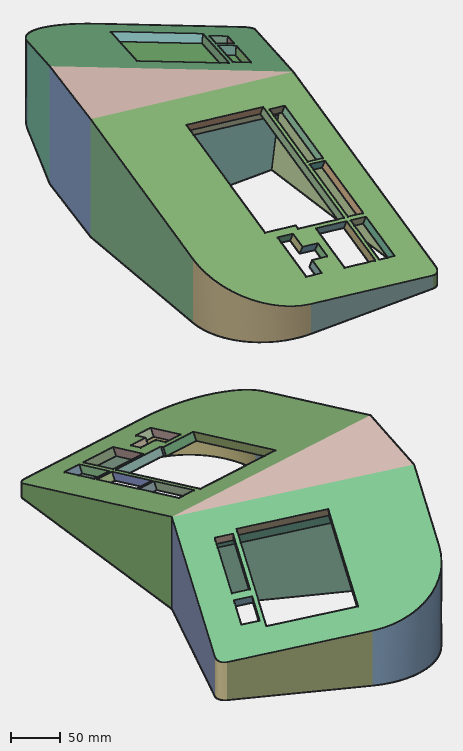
import cadquery as cq
import math

apex_height = 107.5
front_tilt = 7.7
tent_angle = 17.0
left_yaw = 13.0
right_yaw = 12.0

plate_depth = 251.5
left_width = 202.0
right_width = 293.0
front_corner_radius = 90.0
back_corner_radius = 10.0
plate_thickness = 10.0

seam_wall = 15.0
back_wall = 12.5
end_wall = 10.0
front_wall = 32.0
reach = 322.0
floor_block_size = 1611.0

left_block_width = 133.0
left_block_keys = 7
key = left_block_width / left_block_keys
left_block_u = 33.5
left_function_u = 38.5
escape_gap = key / 2
escape_width = 1.75 * key
right_block_u = 35.0
right_block_width = 161.0
function_v = 35.5
function_width = 4 * key
function_bar = 4.0
bar = 5.0
stagger = key / 4
block_v = function_v + key + bar
block_depth = 5 * key
upper_rows_depth = 3 * key
nav_u = right_block_u + right_block_width + bar
nav_width = 3 * key
nav_depth = 2 * key
arrow_stem_v = block_v + 2.5 * key
arrow_row_v = arrow_stem_v + key
opening_depth = 1.5 * plate_thickness


class Half:
    """One plate: side is -1 for the left and 1 for the right."""

    def __init__(self, side, yaw, width):
        self.side = side
        self.width = width
        level = cq.Plane(origin=(0, 0, apex_height))
        tilted = level.rotated((-front_tilt, 0, 0))
        self.plane = tilted.rotated((0, 0, side * yaw)).rotated((0, side * tent_angle, 0))

    def at(self, u, v):
        """Plate position in the coordinates of the plate's plane."""
        return (self.side * u, -v)

    def front_of_seam(self):
        return self.plane.toWorldCoords((0, -plate_depth, 0))


def rectangle(u, v, width, depth):
    return [(u, v), (u + width, v), (u + width, v + depth), (u, v + depth)]


def plate_outline(half, seam=0.0, back=0.0, front=0.0, end=0.0, drop=0.0):
    """Plate outline set in from its four sides, below the plate's top by the drop."""
    u0, u1 = seam, half.width - end
    v0, v1 = back, plate_depth - front
    back_radius = max(back_corner_radius - back, 0.5)
    front_radius = front_corner_radius - end
    arc_inset = 1 - math.sqrt(0.5)
    back_inset = back_radius * arc_inset
    front_inset = front_radius * arc_inset
    at = half.at
    return (
        cq.Workplane(half.plane)
        .workplane(offset=-drop)
        .moveTo(*at(u0, v0))
        .lineTo(*at(u1 - back_radius, v0))
        .threePointArc(at(u1 - back_inset, v0 + back_inset), at(u1, v0 + back_radius))
        .lineTo(*at(u1, v1 - front_radius))
        .threePointArc(at(u1 - front_inset, v1 - front_inset), at(u1 - front_radius, v1))
        .lineTo(*at(u0, v1))
        .close()
    )


def drop_to_floor(wire):
    """Solid between a raised outline and the floor, with upright walls."""
    prism = cq.Solid.extrudeLinear(wire, [], cq.Vector(0, 0, -reach))
    above_floor = cq.Workplane().box(
        floor_block_size, floor_block_size, floor_block_size, centered=(True, True, False)
    )
    return cq.Workplane(prism).intersect(above_floor)


def hollow_half(half):
    body = drop_to_floor(plate_outline(half).wires().val())
    hollow = plate_outline(half, seam_wall, back_wall, front_wall, end_wall, plate_thickness)
    return body.cut(hollow.extrude(-reach))


def centre_wedge(left, right):
    """Solid wedge filling the gap between the two seams."""
    apex = cq.Vector(0, 0, apex_height)
    corners = [apex, left.front_of_seam(), right.front_of_seam()]
    return drop_to_floor(cq.Wire.makePolygon(corners, close=True))


def cut_openings(body, half, outlines):
    for outline in outlines:
        points = [half.at(u, v) for u, v in outline]
        opening = cq.Workplane(half.plane).polyline(points).close().extrude(-opening_depth)
        body = body.cut(opening)
    return body


left = Half(-1, left_yaw, left_width)
right = Half(1, right_yaw, right_width)

escape_u = left_function_u + function_width + escape_gap
left_openings = [
    rectangle(left_block_u, block_v, left_block_width, block_depth),
    rectangle(left_function_u, function_v, function_width, key),
    rectangle(escape_u, function_v, escape_width, key),
]

block_end = right_block_u + right_block_width
step_v = block_v + upper_rows_depth
block_front = block_v + block_depth
stepped_block = [
    (right_block_u, block_v),
    (block_end, block_v),
    (block_end, step_v),
    (block_end - stagger, step_v),
    (block_end - stagger, block_front),
    (right_block_u, block_front),
]
right_function_u = right_block_u + stagger
second_function_u = right_function_u + function_width + function_bar
right_openings = [
    stepped_block,
    rectangle(right_function_u, function_v, function_width, key),
    rectangle(second_function_u, function_v, function_width, key),
    rectangle(nav_u, function_v, nav_width, key),
    rectangle(nav_u, block_v, nav_width, nav_depth),
    rectangle(nav_u + key, arrow_stem_v, key, arrow_row_v + key - arrow_stem_v),
    rectangle(nav_u, arrow_row_v, nav_width, key),
]

case = hollow_half(left).union(hollow_half(right)).union(centre_wedge(left, right))
case = cut_openings(case, left, left_openings)
result = cut_openings(case, right, right_openings)